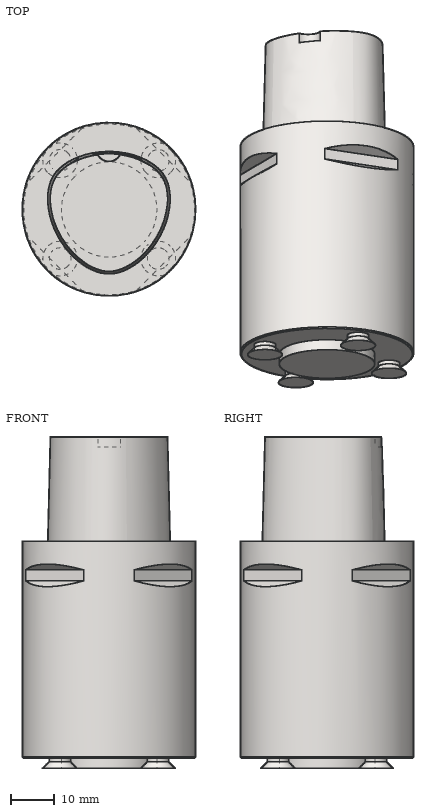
import cadquery as cq
import math

BODY_DIAMETER = 40.0
BODY_LENGTH = 50.0
BODY_CHAMFER = 0.3

SHANK_LENGTH = 24.0
SHANK_BASE_RADIUS = 14.12
SHANK_TAPER = 1 / 40
LOBE_HEIGHT = 0.8
LOBE_COUNT = 3
LOBE_DIRECTION = -90.0
LOBE_HALF_ANGLE = 26.0
POINTS_PER_FACE = 9

NOTCH_RADIUS = 2.9
NOTCH_FLOOR_Y = 11.0
NOTCH_DEPTH = 2.3

SLOT_COUNT = 4
SLOT_FIRST_ANGLE = 45.0
SLOT_CENTER_Z = -7.9
SLOT_FLOOR_HEIGHT = 2.5
SLOT_FLOOR_DISTANCE = 17.65
SLOT_WALL_ANGLE = 30.0

BOSS_DIAMETER = 21.99
UNDERSIDE_HEIGHT = 2.4
SCREW_COUNT = 4
SCREW_CIRCLE_RADIUS = 16.0
SCREW_FIRST_ANGLE = 45.0
SCREW_SHANK_DIAMETER = 4.99
SCREW_HEAD_DIAMETER = 8.0
SCREW_HEAD_HEIGHT = (SCREW_HEAD_DIAMETER - SCREW_SHANK_DIAMETER) / 2


def lobed_point(mean_radius, angle):
    """Point of the constant-width lobed curve whose outward normal is at this angle from a lobe."""
    support = mean_radius + LOBE_HEIGHT * math.cos(LOBE_COUNT * angle)
    slope = -LOBE_COUNT * LOBE_HEIGHT * math.sin(LOBE_COUNT * angle)
    turned = angle + math.radians(LOBE_DIRECTION)
    x = support * math.cos(turned) - slope * math.sin(turned)
    y = support * math.sin(turned) + slope * math.cos(turned)
    return cq.Vector(x, y, 0)


def lobed_tangent(angle):
    """Direction of the lobed curve where its outward normal is at this angle from a lobe."""
    turned = angle + math.radians(LOBE_DIRECTION)
    return cq.Vector(-math.sin(turned), math.cos(turned), 0)


def lobed_wire(mean_radius, z):
    """Closed lobed outline, with one edge per lobe and one per flank."""
    lobe_pitch = 360.0 / LOBE_COUNT
    edges = []
    for lobe in range(LOBE_COUNT):
        lobe_start = lobe * lobe_pitch - LOBE_HALF_ANGLE
        lobe_end = lobe * lobe_pitch + LOBE_HALF_ANGLE
        next_start = lobe_start + lobe_pitch
        for start, end in ((lobe_start, lobe_end), (lobe_end, next_start)):
            step = (end - start) / (POINTS_PER_FACE - 1)
            angles = [math.radians(start + step * i) for i in range(POINTS_PER_FACE)]
            points = [lobed_point(mean_radius, angle) + cq.Vector(0, 0, z) for angle in angles]
            tangents = [lobed_tangent(angles[0]), lobed_tangent(angles[-1])]
            edges.append(cq.Edge.makeSpline(points, tangents=tangents))
    return cq.Wire.assembleEdges(edges)


def make_body():
    body = cq.Workplane("XY").circle(BODY_DIAMETER / 2).extrude(-BODY_LENGTH)
    return body.faces("<Z").chamfer(BODY_CHAMFER)


def make_shank():
    """Shank lofted between a larger outline at the shoulder and a smaller one at the top."""
    top_radius = SHANK_BASE_RADIUS - SHANK_TAPER * SHANK_LENGTH
    base = lobed_wire(SHANK_BASE_RADIUS, 0)
    top = lobed_wire(top_radius, SHANK_LENGTH)
    return cq.Workplane(cq.Solid.makeLoft([base, top], True))


def make_notch():
    """Upright cylinder that bites into the flank on the +Y side of the shank."""
    return (
        cq.Workplane("XY", origin=(0, NOTCH_FLOOR_Y + NOTCH_RADIUS, SHANK_LENGTH - NOTCH_DEPTH))
        .circle(NOTCH_RADIUS)
        .extrude(NOTCH_DEPTH)
    )


def make_slot():
    """Straight trapezoidal groove across the +X side of the body, wider towards the outside."""
    depth = BODY_DIAMETER / 2 - SLOT_FLOOR_DISTANCE
    half_floor = SLOT_FLOOR_HEIGHT / 2
    half_mouth = half_floor + depth * math.tan(math.radians(SLOT_WALL_ANGLE))
    profile = [
        (SLOT_FLOOR_DISTANCE, SLOT_CENTER_Z - half_floor),
        (BODY_DIAMETER / 2, SLOT_CENTER_Z - half_mouth),
        (BODY_DIAMETER / 2, SLOT_CENTER_Z + half_mouth),
        (SLOT_FLOOR_DISTANCE, SLOT_CENTER_Z + half_floor),
    ]
    return cq.Workplane("XZ").polyline(profile).close().extrude(BODY_DIAMETER / 2, both=True)


def make_boss():
    underside = cq.Workplane("XY", origin=(0, 0, -BODY_LENGTH))
    return underside.circle(BOSS_DIAMETER / 2).extrude(-UNDERSIDE_HEIGHT)


def make_screw():
    """Countersunk screw on the +X side, its head pointing down."""
    shank_radius = SCREW_SHANK_DIAMETER / 2
    head_radius = SCREW_HEAD_DIAMETER / 2
    tip_z = -BODY_LENGTH - UNDERSIDE_HEIGHT
    profile = [
        (0, -BODY_LENGTH),
        (shank_radius, -BODY_LENGTH),
        (shank_radius, tip_z + SCREW_HEAD_HEIGHT),
        (head_radius, tip_z),
        (0, tip_z),
    ]
    screw = cq.Workplane("XZ").polyline(profile).close().revolve(360, (0, 0), (0, 1))
    return screw.translate((SCREW_CIRCLE_RADIUS, 0, 0))


def turned_copies(shape, count, first_angle):
    """Copies of a shape spaced evenly around the body axis."""
    return [shape.rotate((0, 0, 0), (0, 0, 1), first_angle + 360.0 / count * i) for i in range(count)]


result = make_body().union(make_shank()).cut(make_notch())
for slot in turned_copies(make_slot(), SLOT_COUNT, SLOT_FIRST_ANGLE):
    result = result.cut(slot)
result = result.union(make_boss())
for screw in turned_copies(make_screw(), SCREW_COUNT, SCREW_FIRST_ANGLE):
    result = result.union(screw)